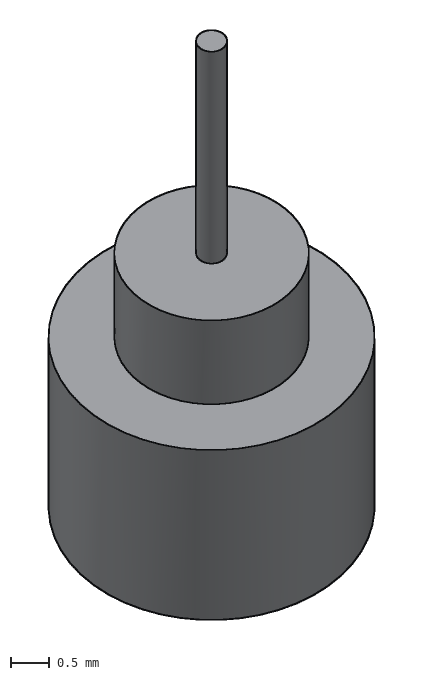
import cadquery as cq

total_height = 8.35
body_diameter = 4.2
body_height = 3.05
collar_diameter = 2.505
collar_height = 1.5
pin_diameter = 0.4

collar_top = body_height + collar_height
pin_length = total_height - collar_top


def upright_cylinder(diameter, height, base_z):
    """Cylinder on the Z axis, standing on the level base_z."""
    return cq.Workplane("XY").workplane(offset=base_z).circle(diameter / 2).extrude(height)


body = upright_cylinder(body_diameter, body_height, 0)
collar = upright_cylinder(collar_diameter, collar_height, body_height)
pin = upright_cylinder(pin_diameter, pin_length, collar_top)

result = body.union(collar).union(pin)